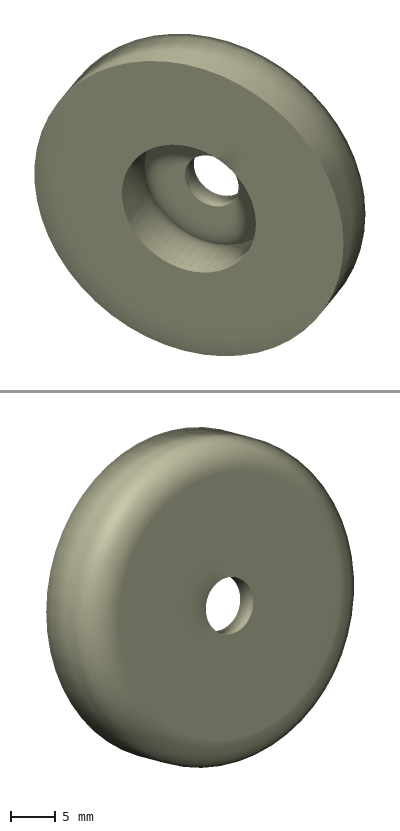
import cadquery as cq

outer_diameter = 38.1
thickness = 9.0
back_edge_radius = 3.5
screw_hole_diameter = 6.6
recess_diameter = 33.0
recess_depth = 6.48
magnet_diameter = 30.02
magnet_bore_diameter = 16.5

front_y = -thickness / 2


def disc(diameter, length):
    """Solid disc that starts at the front face and extends toward +Y."""
    front_plane = cq.Workplane("XZ", origin=(0, front_y, 0))
    return front_plane.circle(diameter / 2).extrude(-length)


def make_cup():
    """Round-backed cup with a front recess and a central screw hole."""
    body = disc(outer_diameter, thickness).faces(">Y").edges().fillet(back_edge_radius)
    recess = disc(recess_diameter, recess_depth)
    screw_hole = disc(screw_hole_diameter, thickness)
    return body.cut(recess).cut(screw_hole)


def make_spacer_ring():
    """Thin ring that fills the gap between the magnet and the cup wall."""
    return disc(recess_diameter, recess_depth).cut(disc(magnet_diameter, recess_depth))


def make_magnet():
    """Ring magnet seated on the recess floor, flush with the cup rim."""
    return disc(magnet_diameter, recess_depth).cut(disc(magnet_bore_diameter, recess_depth))


cup = make_cup()
spacer_ring = make_spacer_ring()
magnet = make_magnet()

result = cq.Compound.makeCompound([cup.val(), spacer_ring.val(), magnet.val()])